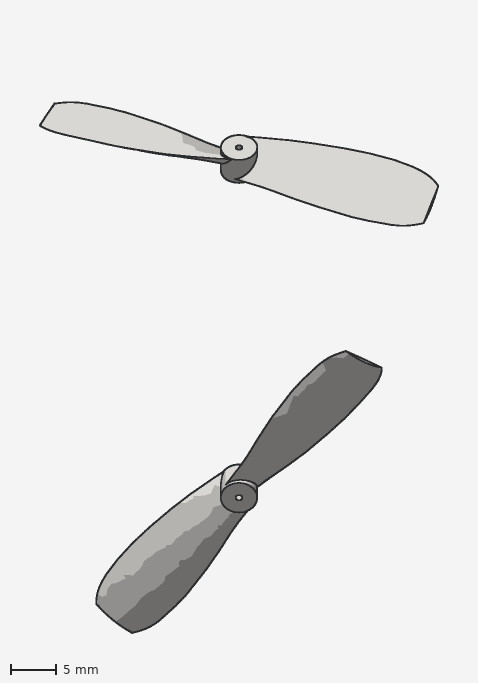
import cadquery as cq

hub_radius = 2.02
hub_height = 3.5
bore_diameter = 0.7

tip_radius = 22.5
blade_sections = [
    (0.0, -2.0, 1.7, 2.0, -1.2, 0.45, 1.0),
    (2.7, -2.6, 1.65, 2.25, -1.15, 0.3, 1.05),
    (5.4, -3.15, 1.6, 2.65, -1.12, 0.2, 1.0),
    (8.1, -3.55, 1.58, 3.2, -1.05, 0.1, 1.12),
    (10.8, -3.82, 1.58, 3.6, -0.95, 0.05, 1.2),
    (13.5, -4.0, 1.55, 3.85, -0.9, 0.05, 1.2),
    (16.2, -4.0, 1.5, 4.0, -0.85, 0.05, 1.15),
    (18.9, -3.82, 1.25, 3.85, -0.8, 0.05, 1.0),
    (20.7, -3.45, 1.0, 3.5, -0.75, 0.05, 0.75),
    (21.7, -3.05, 0.75, 3.05, -0.7, 0.05, 0.65),
    (tip_radius, -2.5, 0.5, 2.55, -0.68, 0.05, 0.5),
]


def section_wire(distance, upper_y, upper_z, lower_y, lower_z, rise, belly):
    """Closed lens section: a nearly flat upper face over a rounded belly."""
    x = -distance
    mid_y = (upper_y + lower_y) / 2
    mid_z = (upper_z + lower_z) / 2
    upper_edge = cq.Vector(x, upper_y, upper_z)
    lower_edge = cq.Vector(x, lower_y, lower_z)
    crown = cq.Vector(x, mid_y, mid_z + rise)
    keel = cq.Vector(x, mid_y, mid_z - belly)
    upper_face = cq.Edge.makeThreePointArc(upper_edge, crown, lower_edge)
    lower_face = cq.Edge.makeThreePointArc(lower_edge, keel, upper_edge)
    return cq.Wire.assembleEdges([upper_face, lower_face])


def make_blade():
    """One twisted blade, lofted smoothly through its sections."""
    wires = [section_wire(*section) for section in blade_sections]
    return cq.Workplane(obj=cq.Solid.makeLoft(wires))


hub = cq.Workplane("XY").circle(hub_radius).extrude(hub_height / 2, both=True)
bore = cq.Workplane("XY").circle(bore_diameter / 2).extrude(hub_height, both=True)

blade = make_blade()
opposite_blade = blade.rotate((0, 0, 0), (0, 0, 1), 180)

result = hub.union(blade).union(opposite_blade).cut(bore)